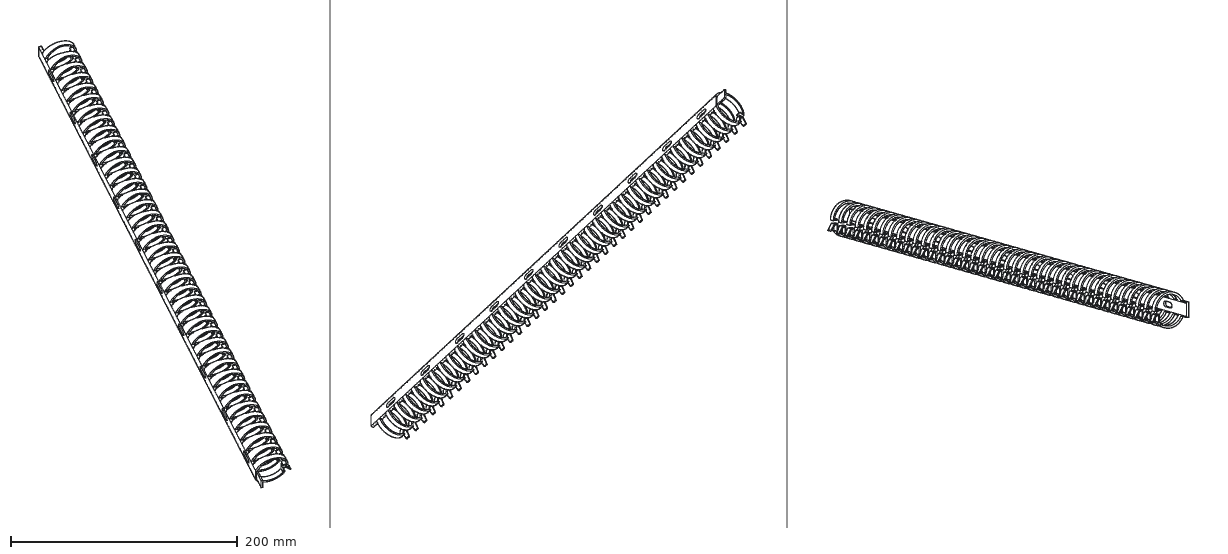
import cadquery as cq
import math

total_length = 511.5
finger_count = 40
finger_width = 4.5
tongue_reach = 11.0
body_length = total_length - tongue_reach
finger_pitch = body_length / finger_count
gap_width = finger_pitch - finger_width

outer_radius = 16.5
inner_radius = 14.5
band_height = 14.0
front_wall = 2.3
back_wall = 1.5
outer_center_y = math.sqrt(outer_radius**2 - (band_height / 2) ** 2)
tube_back_y = outer_center_y + outer_radius
inner_center_y = tube_back_y - back_wall - inner_radius

mouth_front_y = 24.5
mouth_top_z = 0.5
mouth_bottom_z = -9.0
lip_depth = 4.0
lip_thickness = 1.0
jaw_front_y = 26.0
jaw_wall = 1.3
jaw_top_z = -2.5
jaw_root_z = -10.0
hook_overhang = 2.7
hook_reach_y = tube_back_y + hook_overhang
hook_bend_y = 30.0
hook_tip_z = -8.5
hook_wall = 1.0

gap_root_width = 3.5
gap_taper_end_y = 15.5
hook_corner_trim = 0.5

slot_count = 10
slot_length = 12.5
slot_height = 5.0
fingers_per_slot = 4
slot_pitch = fingers_per_slot * finger_pitch
first_slot_x = 28.5

tongue_height = 10.0
tongue_thickness = 1.5
tongue_front_y = front_wall - tongue_thickness
tongue_overlap = 5.0


def block(x0, x1, y0, y1, z0, z1):
    corner = (x0, y0, z0)
    return cq.Workplane("XY").box(x1 - x0, y1 - y0, z1 - z0, centered=False).translate(corner)


def flattened_cylinder(center_y, radius, flat_y):
    half_flat = math.sqrt(radius**2 - (center_y - flat_y) ** 2)
    return (
        cq.Workplane("YZ")
        .moveTo(flat_y, -half_flat)
        .threePointArc((center_y + radius, 0), (flat_y, half_flat))
        .close()
        .extrude(body_length)
    )


def tube():
    outside = flattened_cylinder(outer_center_y, outer_radius, 0)
    inside = flattened_cylinder(inner_center_y, inner_radius, front_wall)
    mouth = block(0, body_length, mouth_front_y, hook_reach_y, mouth_bottom_z, mouth_top_z)
    return outside.cut(inside).cut(mouth)


def lip():
    """Inward ledge along the upper edge of the mouth."""
    back_y = tube_back_y - back_wall / 2
    top_z = mouth_top_z + lip_thickness
    return block(0, body_length, back_y - lip_depth, back_y, mouth_top_z, top_z)


def jaw():
    """Upright wall below the mouth, ending in a hook that hangs down outside the tube."""
    outline = [
        (jaw_front_y, jaw_root_z),
        (jaw_front_y, jaw_top_z),
        (hook_bend_y, jaw_top_z),
        (hook_reach_y, hook_tip_z),
        (hook_reach_y - hook_wall, hook_tip_z),
        (hook_bend_y - hook_wall, jaw_top_z - hook_wall),
        (jaw_front_y + jaw_wall, jaw_top_z - hook_wall),
        (jaw_front_y + jaw_wall, jaw_root_z),
    ]
    return cq.Workplane("YZ").polyline(outline).close().extrude(body_length)


def straight_gap():
    """Clears everything below and behind the band over one gap width from X = 0."""
    lower = block(0, gap_width, 0, hook_reach_y, -outer_radius, -band_height / 2)
    rear = block(0, gap_width, gap_taper_end_y, hook_reach_y, -outer_radius, outer_radius)
    return lower.union(rear)


def finger_gap():
    """
    Gap starting at X = 0 whose upper front part narrows towards the band
    and whose rear end trims the corners of the hooks.
    """
    middle = gap_width / 2
    upper = (
        cq.Workplane("XY")
        .workplane(offset=band_height / 2)
        .moveTo(middle - gap_root_width / 2, 0)
        .lineTo(middle + gap_root_width / 2, 0)
        .lineTo(gap_width, gap_taper_end_y)
        .lineTo(0, gap_taper_end_y)
        .close()
        .extrude(outer_radius)
    )
    hook_trim = (
        cq.Workplane("XY")
        .workplane(offset=-outer_radius)
        .moveTo(0, tube_back_y)
        .lineTo(gap_width, tube_back_y)
        .lineTo(gap_width + hook_corner_trim, hook_reach_y)
        .lineTo(-hook_corner_trim, hook_reach_y)
        .close()
        .extrude(outer_radius)
    )
    return straight_gap().union(upper).union(hook_trim).val()


def end_gap():
    """Gap before the first finger, straight over its full height."""
    upper = block(0, gap_width, 0, gap_taper_end_y, band_height / 2, outer_radius)
    return straight_gap().union(upper)


def slots():
    centers = [(first_slot_x + i * slot_pitch, 0) for i in range(slot_count)]
    outlines = cq.Workplane("XZ").pushPoints(centers).slot2D(slot_length, slot_height)
    return outlines.extrude(-2 * front_wall)


def tongue():
    """Thin tab, flush with the inside of the front wall."""
    return block(
        body_length - tongue_overlap,
        total_length,
        tongue_front_y,
        tongue_front_y + tongue_thickness,
        -tongue_height / 2,
        tongue_height / 2,
    )


gap_starts = [(i * finger_pitch, 0) for i in range(1, finger_count)]
gap = finger_gap()
gaps = cq.Workplane("XY").pushPoints(gap_starts).eachpoint(lambda place: gap.moved(place))
result = tube().union(lip()).union(jaw()).cut(end_gap()).cut(gaps)
result = result.cut(slots()).union(tongue())